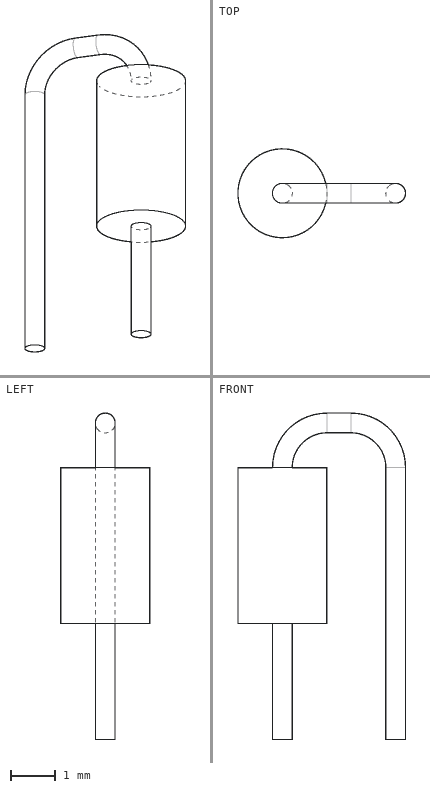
import cadquery as cq

total_height = 7.33
body_diameter = 2.0
body_height = 3.505
lead_diameter = 0.45
lead_pitch = 2.54

bend_radius = body_diameter / 2
crown_z = total_height - lead_diameter / 2
body_top = crown_z - bend_radius
body_bottom = body_top - body_height


def make_body():
    return (
        cq.Workplane("XY")
        .workplane(offset=body_bottom)
        .circle(body_diameter / 2)
        .extrude(body_height)
    )


def make_lead():
    """Sweep one wire up the body axis, over two bends and down to the base."""
    path = (
        cq.Workplane("XZ")
        .lineTo(0, body_top)
        .tangentArcPoint((bend_radius, crown_z), relative=False)
        .lineTo(lead_pitch - bend_radius, crown_z)
        .tangentArcPoint((lead_pitch, body_top), relative=False)
        .lineTo(lead_pitch, 0)
    )
    return cq.Workplane("XY").circle(lead_diameter / 2).sweep(path)


result = make_body().union(make_lead())